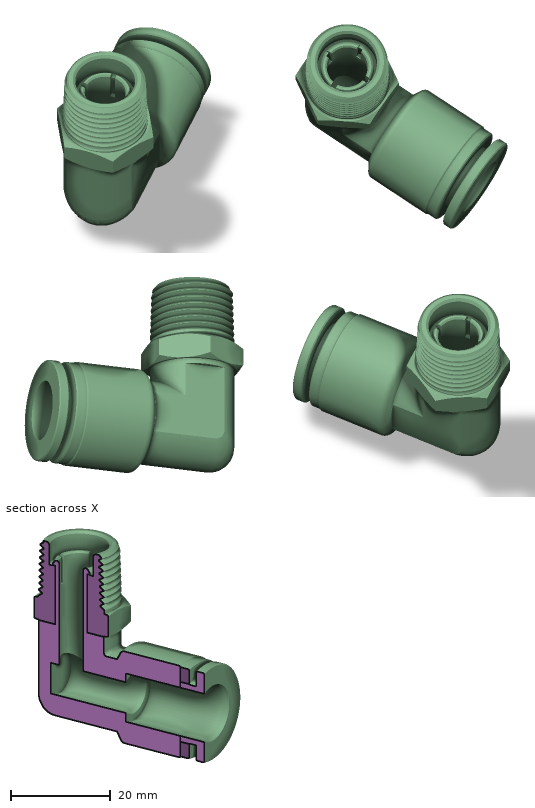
import cadquery as cq
import math

LEG_RADIUS = 8.5
FLAT_OFFSET = 7.37
FLAT_END = 11.0
CORNER_FILLET = LEG_RADIUS / 2
INNER_FILLET = 0.6
VERTICAL_BORE = 4.1
TUBE_BORE = 4.45
TUBE_BORE_END = -4.95

HOUSING_RADIUS = 10.5
HOUSING_START = 11.05
HOUSING_END = 26.35
HOUSING_CONE_ANGLE = 60.0
HOUSING_FILLET = 1.25
EDGE_CHAMFER = 0.25
SOCKET_RADIUS = 6.0
SOCKET_STOP = 13.2

GUIDE_RADIUS = HOUSING_RADIUS - EDGE_CHAMFER
GUIDE_END = 28.55

BUTTON_RADIUS = GUIDE_RADIUS
BUTTON_NECK_RADIUS = 7.13
BUTTON_FLANGE_START = 30.15
BUTTON_END = 32.15

HEX_FLATS = 18.05
HEX_BOTTOM = 12.05
HEX_HEIGHT = 5.0
HEX_CHAMFER_ANGLE = 30.0
HEX_TOP = HEX_BOTTOM + HEX_HEIGHT

STUD_TOP = 29.6
STUD_BORE = 6.0
STUD_BORE_CHAMFER = 0.5
STUD_FLOOR = 24.7

THREAD_RADIUS = 8.55
THREAD_TAPER = 1 / 32
THREAD_TURNS = 18
THREAD_TURNS_LENGTH = 25.37
THREAD_PITCH = THREAD_TURNS_LENGTH / THREAD_TURNS
THREAD_CREST_WIDTH = 0.058
THREAD_DEPTH = 0.95
GROOVE_HALF_WIDTH = (THREAD_PITCH - THREAD_CREST_WIDTH) / 2
GROOVE_OVERSHOOT = 0.05
GROOVE_ANGLE = 270.0
GROOVE_START = 17.9
RUNOUT_ANGLE = 180.0
BLANK_SEAM_ANGLE = 140.0
THREAD_END_RADIUS = 7.37
THREAD_END_CHAMFER = 0.82

SNAP_RADIUS = 4.95
SNAP_TOP = 26.0
BARB_RADIUS = 5.4
BARB_TIP_RADIUS = 4.85
BARB_CONE_HEIGHT = 0.82
SNAP_BORE_CHAMFER = 0.35
SLOT_WIDTH = 1.1
SLOT_DEPTH = 6.18


def turned_on_z(points):
    """Turn an outline of (radius, height) points about the Z axis."""
    return cq.Workplane("XZ").polyline(points).close().revolve(360, (0, 0), (0, 1))


def turned_on_y(points):
    """Turn an outline of (radius, distance along Y) points about the Y axis."""
    return cq.Workplane("XY").polyline(points).close().revolve(360, (0, 0), (0, 1))


def elbow_legs():
    """Two mitred round legs with side flats and rounded mitre edges."""
    path = cq.Workplane("YZ").moveTo(0, HEX_BOTTOM).lineTo(0, 0).lineTo(HOUSING_START, 0)
    legs = (
        cq.Workplane("XY").workplane(offset=HEX_BOTTOM)
        .circle(LEG_RADIUS).sweep(path, transition="right")
    )
    flat_span = FLAT_END + HOUSING_RADIUS
    flat_middle = (FLAT_END - HOUSING_RADIUS) / 2
    for side in (-1, 1):
        waste = cq.Workplane("XY").box(LEG_RADIUS, flat_span, flat_span).translate(
            (side * (FLAT_OFFSET + LEG_RADIUS / 2), flat_middle, flat_middle)
        )
        legs = legs.cut(waste)
    outer_mitre = cq.selectors.NearestToPointSelector((0, -LEG_RADIUS, -LEG_RADIUS))
    legs = legs.edges(outer_mitre).fillet(CORNER_FILLET)
    inner_mitre = cq.selectors.NearestToPointSelector((0, LEG_RADIUS, LEG_RADIUS))
    return legs.edges(inner_mitre).fillet(INNER_FILLET)


def elbow_housing():
    """Round housing of the tube socket, narrowing to the leg by a cone."""
    cone_end = HOUSING_START + (HOUSING_RADIUS - LEG_RADIUS) / math.tan(math.radians(HOUSING_CONE_ANGLE))
    housing = turned_on_y([
        (0, HOUSING_START),
        (LEG_RADIUS, HOUSING_START),
        (HOUSING_RADIUS, cone_end),
        (HOUSING_RADIUS, HOUSING_END - EDGE_CHAMFER),
        (HOUSING_RADIUS - EDGE_CHAMFER, HOUSING_END),
        (0, HOUSING_END),
    ])
    margin = 0.05
    cone_edge = cq.selectors.BoxSelector(
        (-HOUSING_RADIUS, cone_end - margin, -HOUSING_RADIUS),
        (HOUSING_RADIUS, cone_end + margin, HOUSING_RADIUS),
    )
    return housing.edges(cone_edge).fillet(HOUSING_FILLET)


def snap_tube():
    """Solid rod with a barbed end; the elbow bore and the slots turn it into fingers."""
    return turned_on_z([
        (0, HEX_BOTTOM),
        (SNAP_RADIUS, HEX_BOTTOM),
        (SNAP_RADIUS, STUD_FLOOR),
        (BARB_RADIUS, STUD_FLOOR),
        (BARB_RADIUS, SNAP_TOP - BARB_CONE_HEIGHT),
        (BARB_TIP_RADIUS, SNAP_TOP),
        (0, SNAP_TOP),
    ])


def elbow_bores():
    vertical = turned_on_z([
        (0, 0),
        (VERTICAL_BORE, 0),
        (VERTICAL_BORE, SNAP_TOP - SNAP_BORE_CHAMFER),
        (VERTICAL_BORE + SNAP_BORE_CHAMFER, SNAP_TOP),
        (0, SNAP_TOP),
    ])
    socket = turned_on_y([
        (0, TUBE_BORE_END),
        (TUBE_BORE, TUBE_BORE_END),
        (TUBE_BORE, SOCKET_STOP),
        (SOCKET_RADIUS, SOCKET_STOP),
        (SOCKET_RADIUS, HOUSING_END),
        (0, HOUSING_END),
    ])
    return vertical.union(socket)


def snap_slots():
    """Two crossed slots that split the snap tube into four fingers."""
    slots = cq.Workplane("XY")
    for length_x, length_y in ((2 * BARB_RADIUS, SLOT_WIDTH), (SLOT_WIDTH, 2 * BARB_RADIUS)):
        slots = slots.union(
            cq.Workplane("XY").workplane(offset=SNAP_TOP - SLOT_DEPTH)
            .rect(length_x, length_y).extrude(SLOT_DEPTH)
        )
    return slots


def make_elbow():
    elbow = elbow_legs().union(elbow_housing()).union(snap_tube())
    return elbow.cut(elbow_bores()).cut(snap_slots())


def hexagon():
    corner_radius = HEX_FLATS / math.sqrt(3)
    flat_radius = HEX_FLATS / 2
    drop = (corner_radius - flat_radius) * math.tan(math.radians(HEX_CHAMFER_ANGLE))
    prism = (
        cq.Workplane("XY").workplane(offset=HEX_BOTTOM)
        .polygon(6, 2 * corner_radius).extrude(HEX_HEIGHT)
    )
    chamfer_envelope = turned_on_z([
        (0, HEX_BOTTOM),
        (flat_radius, HEX_BOTTOM),
        (corner_radius, HEX_BOTTOM + drop),
        (corner_radius, HEX_TOP - drop),
        (flat_radius, HEX_TOP),
        (0, HEX_TOP),
    ])
    return prism.intersect(chamfer_envelope)


def crest_radius(height):
    return THREAD_RADIUS - THREAD_TAPER * (height - HEX_TOP)


def groove_stretch(start_angle, start_height, end_height, start_root_radius, end_root_radius):
    """V groove wound from one root radius to another, starting at an angle from +X."""
    rise = end_height - start_height
    cone_angle = math.atan((end_root_radius - start_root_radius) / rise)
    slant = 1 / math.cos(cone_angle)
    helix = cq.Wire.makeHelix(
        THREAD_PITCH * slant, rise * slant, start_root_radius, angle=math.degrees(cone_angle)
    )
    mouth_radius = start_root_radius + THREAD_DEPTH + GROOVE_OVERSHOOT
    mouth_half_width = GROOVE_HALF_WIDTH * (1 + GROOVE_OVERSHOOT / THREAD_DEPTH)
    profile = (
        cq.Workplane("XZ")
        .moveTo(start_root_radius, 0)
        .lineTo(mouth_radius, mouth_half_width)
        .lineTo(mouth_radius, -mouth_half_width)
        .close()
    )
    groove = profile.sweep(cq.Workplane(obj=helix), isFrenet=True)
    return groove.translate((0, 0, start_height)).rotate((0, 0, 0), (0, 0, 1), start_angle)


def root_radius(height):
    return crest_radius(height) - THREAD_DEPTH


def main_groove():
    """Full-depth groove, cut out through the top."""
    top = STUD_TOP + THREAD_PITCH
    return groove_stretch(GROOVE_ANGLE, GROOVE_START, top, root_radius(GROOVE_START), root_radius(top))


def runout_groove():
    """Last part of a turn above the hexagon, where the groove rises out of the thread."""
    start_angle = GROOVE_ANGLE - RUNOUT_ANGLE
    start_height = GROOVE_START - THREAD_PITCH * RUNOUT_ANGLE / 360
    return groove_stretch(
        start_angle, start_height, GROOVE_START, crest_radius(start_height), root_radius(GROOVE_START)
    )


def threaded_end():
    chamfer_bottom = STUD_TOP - THREAD_END_CHAMFER
    blank = turned_on_z([
        (0, HEX_TOP),
        (THREAD_RADIUS, HEX_TOP),
        (crest_radius(chamfer_bottom), chamfer_bottom),
        (THREAD_END_RADIUS, STUD_TOP),
        (0, STUD_TOP),
    ])
    blank = blank.rotate((0, 0, 0), (0, 0, 1), BLANK_SEAM_ANGLE)
    return blank.cut(main_groove()).cut(runout_groove())


def stud_bore():
    return turned_on_z([
        (0, HEX_BOTTOM),
        (SNAP_RADIUS, HEX_BOTTOM),
        (SNAP_RADIUS, STUD_FLOOR),
        (STUD_BORE, STUD_FLOOR),
        (STUD_BORE, STUD_TOP - STUD_BORE_CHAMFER),
        (STUD_BORE + STUD_BORE_CHAMFER, STUD_TOP),
        (0, STUD_TOP),
    ])


def make_stud():
    return threaded_end().union(hexagon()).cut(stud_bore())


def make_guide():
    return turned_on_y([
        (BUTTON_NECK_RADIUS, HOUSING_END),
        (GUIDE_RADIUS, HOUSING_END),
        (GUIDE_RADIUS, GUIDE_END - EDGE_CHAMFER),
        (GUIDE_RADIUS - EDGE_CHAMFER, GUIDE_END),
        (BUTTON_NECK_RADIUS, GUIDE_END),
    ])


def make_button():
    return turned_on_y([
        (SOCKET_RADIUS, HOUSING_END),
        (BUTTON_NECK_RADIUS, HOUSING_END),
        (BUTTON_NECK_RADIUS, BUTTON_FLANGE_START),
        (BUTTON_RADIUS - EDGE_CHAMFER, BUTTON_FLANGE_START),
        (BUTTON_RADIUS, BUTTON_FLANGE_START + EDGE_CHAMFER),
        (BUTTON_RADIUS, BUTTON_END - EDGE_CHAMFER),
        (BUTTON_RADIUS - EDGE_CHAMFER, BUTTON_END),
        (SOCKET_RADIUS, BUTTON_END),
    ])


elbow = make_elbow()
stud = make_stud()
guide = make_guide()
button = make_button()

result = cq.Compound.makeCompound([
    elbow.solids().val(),
    stud.solids().val(),
    guide.val(),
    button.val(),
])